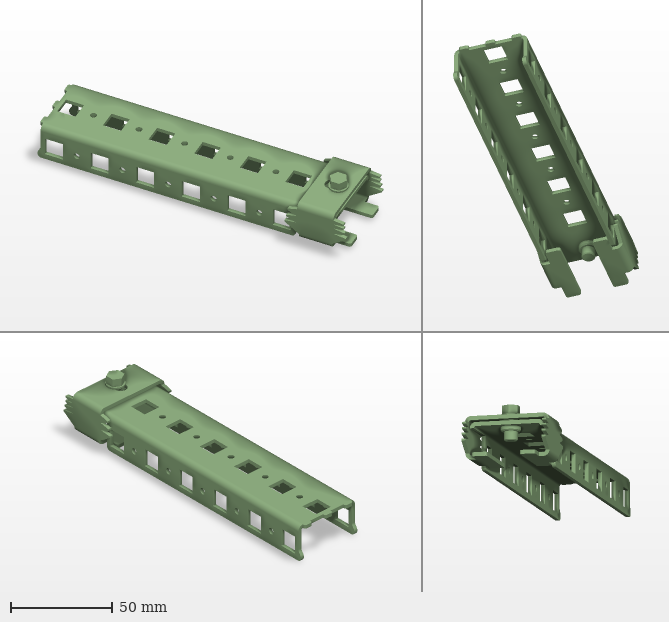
import cadquery as cq
import math

bracket_x = 153.5
bracket_length = 20.0
bracket_width = 43.0
bracket_wall = 2.0
bracket_bend_radius = 3.0
bracket_bottom = 1.5
bracket_top = 23.2
bracket_underside = bracket_top - bracket_wall
lip_root_length = 17.9
lip_length = 34.1
lip_outer_y = 16.2
lip_inner_y = 8.4
lip_corner_radius = 1.2

left_teeth = [
    (138.3, 18.8), (138.3, 17.7), (143.2, 15.7),
    (137.6, 14.5), (137.6, 13.5), (142.9, 11.5),
    (136.5, 10.7), (136.5, 9.9),
]
right_teeth = [
    (170.2, 9.9), (170.2, 10.7), (163.5, 11.6),
    (169.5, 13.0), (169.5, 14.0), (163.5, 15.0),
    (169.0, 16.0), (169.0, 16.9), (163.5, 17.5),
    (169.0, 18.5), (169.0, 19.5),
]

leg_end = 141.3
side_clearance = 0.48
rail_width = bracket_width - 2 * (bracket_wall + side_clearance)
rail_height = 20.1
rail_wall = 2.0
rail_bend_radius = 3.0
foot_radius = 2.0

notch_depth = 1.7
tab_width = 5.0
tab_corner_radius = 1.0
outer_tab_y = 13.6
toe_height = 3.2
toe_slope_rise = 2.5

window_count = 6
window_size = 9.9
first_window_x = 9.0
last_window_x = 134.0
window_pitch = (last_window_x - first_window_x) / (window_count - 1)
small_hole_diameter = 3.4
perforation_z = 8.0

bolt_x = 155.8
bolt_top = 28.6
bolt_end = 11.0
bolt_shank_diameter = 6.8
bolt_end_chamfer = 0.5
bolt_flange_diameter = 10.0
bolt_flange_height = 1.0
hex_sides = 6
hex_across_flats = 8.0
nut_diameter = 10.0
nut_bottom = 15.7
nut_chamfer = 0.7
slot_left_x = 152.0


def bar_along_x(x_start, x_end, width, z_bottom, z_top):
    """Box from x_start to x_end, centred on the XZ plane."""
    size = (x_end - x_start, width, z_top - z_bottom)
    return cq.Workplane().box(*size, centered=(False, True, False)).translate((x_start, 0, z_bottom))


def make_rail():
    web_end = bracket_x + bracket_length / 2
    outer = bar_along_x(0, web_end, rail_width, 0, rail_height)
    outer = outer.edges("|X and >Z").fillet(rail_bend_radius)
    inner = bar_along_x(0, web_end, rail_width - 2 * rail_wall, 0, rail_height - rail_wall)
    inner = inner.edges("|X and >Z").fillet(rail_bend_radius - rail_wall)
    rail = outer.cut(inner).intersect(rail_side_profile(web_end))
    for tab_y in (-outer_tab_y, 0, outer_tab_y):
        rail = rail.union(end_tab().translate((0, tab_y, 0)))
    return rail.cut(top_perforations()).cut(side_perforations()).cut(nut_seat())


def rail_side_profile(web_end):
    """Side profile: a rounded toe at the left foot, and a web that runs on past the legs."""
    outline = [
        (0, 0),
        (0, toe_height),
        (notch_depth, toe_height + toe_slope_rise),
        (notch_depth, rail_height),
        (web_end, rail_height),
        (web_end, rail_height - rail_bend_radius),
        (leg_end, rail_height - rail_bend_radius),
        (leg_end, 0),
    ]
    profile = cq.Workplane("XZ").polyline(outline).close().extrude(rail_width / 2, both=True)
    toe_box = cq.selectors.BoxSelector(
        (-notch_depth, -rail_width, -notch_depth),
        (leg_end + notch_depth, rail_width, rail_height / 2),
    )
    return profile.edges("|Y").edges(toe_box).fillet(foot_radius)


def end_tab():
    """Tab with rounded corners that stands out of the left end of the web."""
    tab = bar_along_x(0, notch_depth, tab_width, rail_height - rail_wall, rail_height)
    return tab.edges("|Z and <X").fillet(tab_corner_radius)


def nut_seat():
    """Round hole in the web that holds the nut."""
    seat = cq.Workplane().circle(nut_diameter / 2).extrude(rail_wall)
    return seat.translate((bolt_x, 0, rail_height - rail_wall))


def window_centers(across):
    return [(first_window_x + i * window_pitch, across) for i in range(window_count)]


def hole_centers(across):
    return [(first_window_x + (i + 0.5) * window_pitch, across) for i in range(window_count - 1)]


def top_perforations():
    plane = cq.Workplane("XY").workplane(offset=rail_height - rail_wall)
    windows = plane.pushPoints(window_centers(0)).rect(window_size, window_size).extrude(rail_wall)
    holes = plane.pushPoints(hole_centers(0)).circle(small_hole_diameter / 2).extrude(rail_wall)
    return windows.add(holes).combine()


def side_perforations():
    """Cutters that run through both legs."""
    plane = cq.Workplane("XZ")
    windows = plane.pushPoints(window_centers(perforation_z)).rect(window_size, window_size)
    windows = windows.extrude(rail_width / 2, both=True)
    holes = plane.pushPoints(hole_centers(perforation_z)).circle(small_hole_diameter / 2)
    holes = holes.extrude(rail_width / 2, both=True)
    return windows.add(holes).combine()


def bracket_side_outline():
    """Side outline of the bracket: blunt teeth on both edges of the walls."""
    body_left = bracket_x - bracket_length / 2
    body_right = bracket_x + bracket_length / 2
    root_left = bracket_x - lip_root_length / 2
    root_right = bracket_x + lip_root_length / 2
    shoulder_z = bracket_top - bracket_bend_radius
    wall_foot_z = bracket_bottom + bracket_bend_radius
    return [
        (body_left, bracket_top), (body_left, shoulder_z), *left_teeth,
        (root_left, wall_foot_z), (root_left, bracket_bottom),
        (root_right, bracket_bottom), (root_right, wall_foot_z),
        *right_teeth, (body_right, shoulder_z), (body_right, bracket_top),
    ]


def make_bracket():
    x_start = bracket_x - lip_length / 2
    x_end = bracket_x + lip_length / 2
    outer = bar_along_x(x_start, x_end, bracket_width, bracket_bottom, bracket_top)
    outer = outer.edges("|X").fillet(bracket_bend_radius)
    inner_width = bracket_width - 2 * bracket_wall
    inner = bar_along_x(x_start, x_end, inner_width, bracket_bottom + bracket_wall, bracket_underside)
    inner = inner.edges("|X").fillet(bracket_bend_radius - bracket_wall)
    mouth = bar_along_x(x_start, x_end, 2 * lip_outer_y, bracket_bottom, bracket_bottom + bracket_wall)
    outline = cq.Workplane("XZ").polyline(bracket_side_outline()).close()
    profile = outline.extrude(bracket_width / 2, both=True)
    bracket = outer.cut(inner).cut(mouth).intersect(profile)
    for side in (-1, 1):
        bracket = bracket.union(lip_tongue(side))
    return bracket.cut(bolt_slot())


def lip_tongue(side):
    """Long rounded tongue at the inner edge of one lip."""
    tongue = cq.Workplane().box(lip_length, lip_outer_y - lip_inner_y, bracket_wall)
    tongue = tongue.edges("|Z").fillet(lip_corner_radius)
    tongue_y = side * (lip_outer_y + lip_inner_y) / 2
    return tongue.translate((bracket_x, tongue_y, bracket_bottom + bracket_wall / 2))


def bolt_slot():
    slot_length = bolt_x - slot_left_x + bolt_shank_diameter
    slot = cq.Workplane().slot2D(slot_length, bolt_shank_diameter).extrude(bracket_wall)
    return slot.translate(((slot_left_x + bolt_x) / 2, 0, bracket_underside))


def make_bolt():
    flange_top = bracket_top + bolt_flange_height
    corner_diameter = hex_across_flats / math.cos(math.pi / hex_sides)
    head = cq.Workplane().polygon(hex_sides, corner_diameter).extrude(bolt_top - flange_top)
    flange = cq.Workplane().circle(bolt_flange_diameter / 2).extrude(bolt_flange_height)
    shank = cq.Workplane().circle(bolt_shank_diameter / 2).extrude(bracket_top - bolt_end)
    shank = shank.faces("<Z").chamfer(bolt_end_chamfer)
    bolt = shank.translate((0, 0, bolt_end)).union(flange.translate((0, 0, bracket_top)))
    bolt = bolt.union(head.translate((0, 0, flange_top)))
    return bolt.translate((bolt_x, 0, 0))


def make_nut():
    """Round nut seated in the web of the rail and touching the underside of the bracket."""
    nut = cq.Workplane().circle(nut_diameter / 2).extrude(bracket_underside - nut_bottom)
    nut = nut.faces("<Z").chamfer(nut_chamfer)
    nut = nut.faces(">Z").workplane().hole(bolt_shank_diameter)
    return nut.translate((bolt_x, 0, nut_bottom))


rail = make_rail()
bracket = make_bracket()
bolt = make_bolt()
nut = make_nut()

bodies = [rail, bracket, bolt, nut]
result = cq.Compound.makeCompound([body.solids().val() for body in bodies])